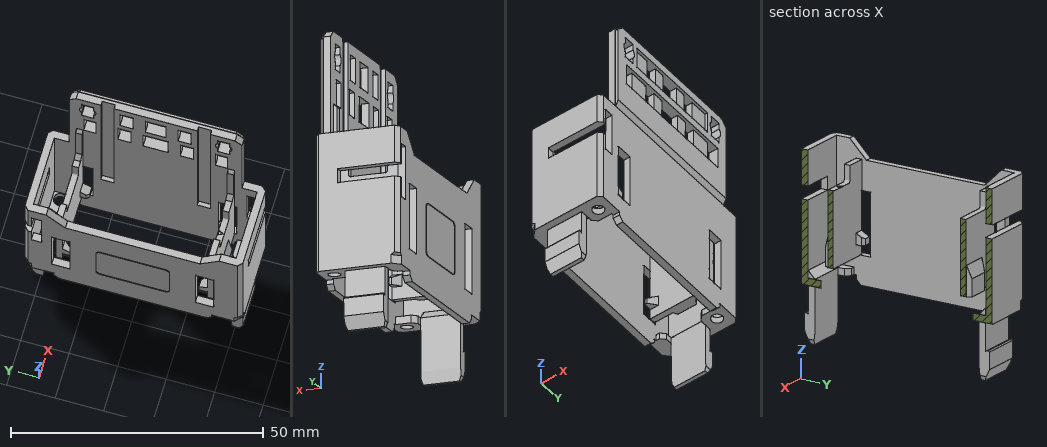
import cadquery as cq

TOTAL_HEIGHT = 63.7
BOX_DEPTH = 17.95
BOX_HALF_WIDTH = 22.5
BOX_BOTTOM = 12.3
BOX_TOP = 40.75
WALL = 1.6
CORNER_CHAMFER = 0.9
INNER_BACK = BOX_DEPTH - WALL
INNER_HALF_WIDTH = BOX_HALF_WIDTH - WALL

FOOT_CHAMFER = 1.6
FOOT_SHOULDER = 14.1
FOOT_TOP = 14.5

NOTCH_DEPTH = 3.95
NOTCH_TOP_HALF_WIDTH = 17.85
TONGUE_HALF_WIDTH = 16.3
TONGUE_DROP = 2.0
TONGUE_CHAMFER = 1.1

WINDOW_INNER = 12.9
WINDOW_OUTER = 16.7
WINDOW_BOTTOM = 16.7
WINDOW_TOP = 30.25

SLOT_BOTTOM = 30.25
SLOT_TOP = 33.1
SLOT_LENGTH = 13.05
POCKET_INNER = 18.8
POCKET_BOTTOM = 26.3
POCKET_TOP = 37.25

LABEL_WIDTH = 15.15
LABEL_HEIGHT = 10.95
LABEL_CENTER_Z = 23.45
LABEL_RADIUS = 1.1
LABEL_DEPTH = 0.1

PANEL_HALF_WIDTH = 17.85
PANEL_CHAMFER = 1.45
PAD_THICKNESS = 0.65
PAD_INSET = 0.25
PAD_RUNOUT = 1.4

GROOVE_CENTER = 9.95
GROOVE_WIDTH = 2.7
GROOVE_DEPTH = 0.9
GROOVE_BOTTOM = 26.1

UPPER_ROW_BOTTOM = 56.05
LOWER_ROW_BOTTOM = 48.8
OPENING_HEIGHT = 5.3
UPPER_OPENINGS = [(6.0, 2.7), (14.0, 2.5)]
LOWER_OPENINGS = [(6.45, 2.7), (13.55, 2.5)]
UPPER_MIDDLE_WIDTH = 4.25
LOWER_MIDDLE_WIDTH = 5.15
KEYHOLE_Y = UPPER_OPENINGS[1][0]
KEYHOLE_DIAMETER = 3.4

UPPER_RECESS_HALF_WIDTH = 11.45
LOWER_RECESS_HALF_WIDTH = LOWER_OPENINGS[1][0] - LOWER_OPENINGS[1][1] / 2

SHELF_THICKNESS = 1.6
SHELF_INNER = 16.8
SHELF_CORNER = 1.0
SCREW_X = 15.0
SCREW_Y = 19.3
SCREW_DIAMETER = 2.55

CLIP_START = 3.5
CLIP_WIDTH = 8.55
CLIP_INNER = INNER_HALF_WIDTH - WALL
CLIP_RAMP_BOTTOM = BOX_BOTTOM + SHELF_THICKNESS
BARB_OUTER = 21.8
BARB_TOP = 6.6
BARB_UNDERCUT = 6.4
BARB_BOTTOM = 2.7
TIP_OUTER = 20.5
TIP_INNER = 19.6
TIP_SIDE_HEIGHT = 1.1
TIP_SIDE_INSET = 0.4

SPRING_INNER = 15.0
SPRING_OUTER = 16.3
SPRING_BOTTOM = 16.9
SPRING_LEVEL = 36.8
SPRING_DIP = 33.2
DIP_FILLET = 0.5
RIB_THICKNESS = 0.7
RIB_TOP = 48.65
RIB_FOOT_CHAMFER = 1.1
DIP_ENDS = {1: (4.85, 13.2), -1: (5.9, 12.2)}
MARK_CENTER = BOX_DEPTH / 2
MARK_SIZE = 0.95
MARK_DEPTH = 0.1

HOOK_REACH = 1.85
HOOK_WIDTH = 2.1
HOOK_BOTTOM = 19.5
HOOK_SHOULDER = 20.95
HOOK_TOP = 22.0
HOOK_CORNER = 0.6
HOOK_TIP_WIDTH = 0.6
BUMP_REACH = 0.95
BUMP_START = 6.25
BUMP_END = 11.9
BUMP_SIDE_INSET = 0.5
BUMP_SHOULDER = 20.7
BUMP_TOP = 23.5


def block(x0, x1, y0, y1, z0, z1):
    """Box between two corners; the Y limits may come in either order."""
    size = (x1 - x0, abs(y1 - y0), z1 - z0)
    return cq.Workplane("XY").box(*size, centered=False).translate((x0, min(y0, y1), z0))


def plate_yz(points, x0, thickness):
    """Plate from a (Y, Z) outline, growing toward +X."""
    return cq.Workplane("YZ").polyline(points).close().extrude(thickness).translate((x0, 0, 0))


def prism_xy(points, z0, height):
    """Vertical prism from an (X, Y) outline."""
    return cq.Workplane("XY").polyline(points).close().extrude(height).translate((0, 0, z0))


def on_side(body, side):
    """Keep a body built on the +Y side, or mirror it to -Y."""
    return body if side > 0 else body.mirror("XZ")


def turned(body):
    """Half turn about the vertical centre line of the box."""
    return body.rotate((BOX_DEPTH / 2, 0, 0), (BOX_DEPTH / 2, 0, 1), 180)


def foot_chamfer_cut():
    """Deeper chamfer at the foot of the label-wall corner on the +Y side."""
    def section(size):
        return [(0, BOX_HALF_WIDTH), (size, BOX_HALF_WIDTH), (0, BOX_HALF_WIDTH - size)]

    cut = prism_xy(section(FOOT_CHAMFER), BOX_BOTTOM, FOOT_SHOULDER - BOX_BOTTOM)
    transition = (
        cq.Workplane("XY", origin=(0, 0, FOOT_SHOULDER)).polyline(section(FOOT_CHAMFER)).close()
        .workplane(offset=FOOT_TOP - FOOT_SHOULDER).polyline(section(CORNER_CHAMFER)).close()
        .loft(ruled=True)
    )
    return cut.union(transition)


def box_shell():
    shell = block(0, BOX_DEPTH, -BOX_HALF_WIDTH, BOX_HALF_WIDTH, BOX_BOTTOM, BOX_TOP)
    shell = shell.edges("|Z").chamfer(CORNER_CHAMFER)
    shell = shell.cut(
        block(WALL, INNER_BACK, -INNER_HALF_WIDTH, INNER_HALF_WIDTH, BOX_BOTTOM, BOX_TOP)
    )
    for side in (1, -1):
        shell = shell.cut(on_side(foot_chamfer_cut(), side))

    notch_bottom_half_width = NOTCH_TOP_HALF_WIDTH - NOTCH_DEPTH
    notch = [
        (-NOTCH_TOP_HALF_WIDTH, BOX_TOP),
        (-notch_bottom_half_width, BOX_TOP - NOTCH_DEPTH),
        (notch_bottom_half_width, BOX_TOP - NOTCH_DEPTH),
        (NOTCH_TOP_HALF_WIDTH, BOX_TOP),
    ]
    shell = shell.cut(plate_yz(notch, 0, WALL))

    tongue_bottom = BOX_BOTTOM - TONGUE_DROP
    tongue_tip = TONGUE_HALF_WIDTH - TONGUE_CHAMFER
    tongue = [
        (-TONGUE_HALF_WIDTH, BOX_BOTTOM),
        (-TONGUE_HALF_WIDTH, tongue_bottom + TONGUE_CHAMFER),
        (-tongue_tip, tongue_bottom),
        (tongue_tip, tongue_bottom),
        (TONGUE_HALF_WIDTH, tongue_bottom + TONGUE_CHAMFER),
        (TONGUE_HALF_WIDTH, BOX_BOTTOM),
    ]
    for wall_start in (0, INNER_BACK):
        shell = shell.union(plate_yz(tongue, wall_start, WALL))
    return shell


def label_recess():
    field = cq.Workplane("YZ", origin=(0, 0, LABEL_CENTER_Z)).rect(LABEL_WIDTH, LABEL_HEIGHT)
    return field.extrude(LABEL_DEPTH).edges("|X").fillet(LABEL_RADIUS)


def wall_windows():
    """Four windows, one pair in each long wall."""
    window = block(0, BOX_DEPTH, WINDOW_INNER, WINDOW_OUTER, WINDOW_BOTTOM, WINDOW_TOP)
    return window.union(on_side(window, -1))


def corner_slots():
    """End-wall slots with their wall pockets; the second is the first turned half round."""
    slot = block(0, SLOT_LENGTH, INNER_HALF_WIDTH, BOX_HALF_WIDTH, SLOT_BOTTOM, SLOT_TOP)
    pocket = block(0, WALL, POCKET_INNER, INNER_HALF_WIDTH, POCKET_BOTTOM, POCKET_TOP)
    cut = slot.union(pocket)
    return cut.union(turned(cut))


def panel_outline(half_width, bottom, top):
    return [
        (-half_width, bottom),
        (half_width, bottom),
        (half_width, top - PANEL_CHAMFER),
        (half_width - PANEL_CHAMFER, top),
        (PANEL_CHAMFER - half_width, top),
        (-half_width, top - PANEL_CHAMFER),
    ]


def back_panel():
    panel = plate_yz(panel_outline(PANEL_HALF_WIDTH, BOX_TOP, TOTAL_HEIGHT), INNER_BACK, WALL)
    pad_outline = panel_outline(PANEL_HALF_WIDTH - PAD_INSET, BOX_TOP, TOTAL_HEIGHT - PAD_INSET)
    pad = plate_yz(pad_outline, BOX_DEPTH, PAD_THICKNESS)
    runout = (
        cq.Workplane("XZ")
        .moveTo(BOX_DEPTH, BOX_TOP)
        .lineTo(BOX_DEPTH + PAD_THICKNESS, BOX_TOP)
        .lineTo(BOX_DEPTH + PAD_THICKNESS, BOX_TOP + PAD_RUNOUT)
        .close()
        .extrude(PANEL_HALF_WIDTH, both=True)
    )
    return panel.union(pad.cut(runout))


def pad_recesses():
    """One slot through the pad along each row of openings."""
    back = BOX_DEPTH + PAD_THICKNESS
    recesses = cq.Workplane("XY")
    rows = [
        (UPPER_RECESS_HALF_WIDTH, UPPER_ROW_BOTTOM),
        (LOWER_RECESS_HALF_WIDTH, LOWER_ROW_BOTTOM),
    ]
    for half_width, bottom in rows:
        recess = block(BOX_DEPTH, back, -half_width, half_width, bottom, bottom + OPENING_HEIGHT)
        recesses = recesses.union(recess)
    return recesses


def panel_openings():
    """Both rows of openings, the keyholes and the two inner grooves."""
    depth = WALL + PAD_THICKNESS

    def opening(center_y, width, bottom):
        y0 = center_y - width / 2
        return block(INNER_BACK, INNER_BACK + depth, y0, y0 + width, bottom, bottom + OPENING_HEIGHT)

    cuts = opening(0, UPPER_MIDDLE_WIDTH, UPPER_ROW_BOTTOM)
    cuts = cuts.union(opening(0, LOWER_MIDDLE_WIDTH, LOWER_ROW_BOTTOM))
    keyhole_z = UPPER_ROW_BOTTOM + OPENING_HEIGHT / 2
    rows = [(UPPER_OPENINGS, UPPER_ROW_BOTTOM), (LOWER_OPENINGS, LOWER_ROW_BOTTOM)]
    for side in (1, -1):
        for openings, bottom in rows:
            for center_y, width in openings:
                cuts = cuts.union(opening(side * center_y, width, bottom))
        keyhole = cq.Workplane("YZ", origin=(INNER_BACK, side * KEYHOLE_Y, keyhole_z))
        cuts = cuts.union(keyhole.circle(KEYHOLE_DIAMETER / 2).extrude(depth))
        groove_start = side * GROOVE_CENTER - GROOVE_WIDTH / 2
        groove = block(
            INNER_BACK, INNER_BACK + GROOVE_DEPTH,
            groove_start, groove_start + GROOVE_WIDTH,
            GROOVE_BOTTOM, TOTAL_HEIGHT,
        )
        cuts = cuts.union(groove)
    return cuts


def corner_shelves():
    """Two shelves on the +Y side, beside the clip; the rear one has a screw hole."""
    clip_end = CLIP_START + CLIP_WIDTH
    shelves = cq.Workplane("XY")
    for wall_x, clip_x, toward_wall in ((WALL, CLIP_START, -1), (INNER_BACK, clip_end, 1)):
        outline = [
            (wall_x, INNER_HALF_WIDTH),
            (clip_x, INNER_HALF_WIDTH),
            (clip_x, SHELF_INNER + SHELF_CORNER),
            (clip_x + toward_wall * SHELF_CORNER, SHELF_INNER),
            (wall_x, SHELF_INNER),
        ]
        shelves = shelves.union(prism_xy(outline, BOX_BOTTOM, SHELF_THICKNESS))
    hole = cq.Workplane("XY", origin=(SCREW_X, SCREW_Y, BOX_BOTTOM)).circle(SCREW_DIAMETER / 2)
    return shelves.cut(hole.extrude(SHELF_THICKNESS))


def clip():
    """Barbed clip on the +Y side, with a 45 degree ramp where it joins the end wall."""
    profile = [
        (CLIP_INNER, CLIP_RAMP_BOTTOM),
        (INNER_HALF_WIDTH, CLIP_RAMP_BOTTOM + INNER_HALF_WIDTH - CLIP_INNER),
        (INNER_HALF_WIDTH, BARB_UNDERCUT),
        (BARB_OUTER - (BARB_TOP - BARB_UNDERCUT), BARB_TOP),
        (BARB_OUTER, BARB_UNDERCUT),
        (BARB_OUTER, BARB_BOTTOM),
        (TIP_OUTER, 0),
        (TIP_INNER, 0),
        (CLIP_INNER, BARB_BOTTOM),
    ]
    body = plate_yz(profile, CLIP_START, CLIP_WIDTH)
    clip_end = CLIP_START + CLIP_WIDTH
    for edge, inward in ((CLIP_START, 1), (clip_end, -1)):
        corner = (
            cq.Workplane("XZ")
            .moveTo(edge, 0)
            .lineTo(edge + inward * TIP_SIDE_INSET, 0)
            .lineTo(edge, TIP_SIDE_HEIGHT)
            .close()
            .extrude(-BOX_HALF_WIDTH)
        )
        body = body.cut(corner)
    return body


def spring_wall(side):
    """Cross wall with a dipped top edge and a rib running up the back panel."""
    dip_start, dip_end = DIP_ENDS[side]
    rib_face = INNER_BACK - RIB_THICKNESS
    profile = (
        cq.Workplane("XZ")
        .moveTo(WALL, SPRING_BOTTOM)
        .lineTo(INNER_BACK, SPRING_BOTTOM)
        .lineTo(INNER_BACK, RIB_TOP)
        .lineTo(rib_face, RIB_TOP - RIB_THICKNESS)
        .lineTo(rib_face, SPRING_LEVEL + RIB_FOOT_CHAMFER)
        .lineTo(rib_face - RIB_FOOT_CHAMFER, SPRING_LEVEL)
        .lineTo(dip_end, SPRING_LEVEL)
        .lineTo(dip_end, SPRING_DIP + DIP_FILLET)
        .radiusArc((dip_end - DIP_FILLET, SPRING_DIP), DIP_FILLET)
        .lineTo(dip_start + DIP_FILLET, SPRING_DIP)
        .radiusArc((dip_start, SPRING_DIP + DIP_FILLET), DIP_FILLET)
        .lineTo(dip_start, SPRING_LEVEL)
        .lineTo(WALL, SPRING_LEVEL)
        .close()
    )
    wall = profile.extrude(SPRING_INNER - SPRING_OUTER).translate((0, SPRING_INNER, 0))
    return on_side(wall, side)


def index_mark():
    """Small triangle sunk into the dipped edge of the -Y spring wall."""
    outline = [
        (MARK_CENTER - MARK_SIZE / 2, -SPRING_INNER - MARK_DEPTH),
        (MARK_CENTER + MARK_SIZE / 2, -SPRING_INNER - MARK_DEPTH),
        (MARK_CENTER, -SPRING_INNER - MARK_DEPTH - MARK_SIZE),
    ]
    return prism_xy(outline, SPRING_DIP - MARK_DEPTH, MARK_DEPTH)


def spring_hooks():
    """Hooks on the inner face of the +Y spring wall: a wedge in front, a block behind."""
    tip = SPRING_INNER - HOOK_REACH
    wedge = [
        (WALL, SPRING_INNER),
        (WALL + HOOK_WIDTH, SPRING_INNER),
        (WALL + HOOK_TIP_WIDTH, tip),
        (WALL, tip),
    ]
    square = [
        (INNER_BACK, SPRING_INNER),
        (INNER_BACK - HOOK_WIDTH, SPRING_INNER),
        (INNER_BACK - HOOK_WIDTH, tip + HOOK_CORNER),
        (INNER_BACK - HOOK_WIDTH + HOOK_CORNER, tip),
        (INNER_BACK, tip),
    ]
    height = HOOK_TOP - HOOK_BOTTOM
    hooks = prism_xy(wedge, HOOK_BOTTOM, height).union(prism_xy(square, HOOK_BOTTOM, height))
    slope = [(SPRING_INNER, HOOK_TOP), (tip, HOOK_TOP), (tip, HOOK_SHOULDER)]
    return hooks.cut(plate_yz(slope, 0, BOX_DEPTH))


def spring_bump():
    """Outward bump on the +Y spring wall, sloped on top and at both ends."""
    tip = SPRING_OUTER + BUMP_REACH
    outline = [
        (BUMP_START, SPRING_OUTER),
        (BUMP_START + BUMP_SIDE_INSET, tip),
        (BUMP_END - BUMP_SIDE_INSET, tip),
        (BUMP_END, SPRING_OUTER),
    ]
    bump = prism_xy(outline, SPRING_BOTTOM, BUMP_TOP - SPRING_BOTTOM)
    slope = [(SPRING_OUTER, BUMP_TOP), (tip, BUMP_TOP), (tip, BUMP_SHOULDER)]
    return bump.cut(plate_yz(slope, 0, BOX_DEPTH))


result = box_shell().union(back_panel())
result = result.cut(label_recess()).cut(wall_windows()).cut(corner_slots()).cut(panel_openings())
result = result.cut(pad_recesses())

for side in (1, -1):
    result = result.union(on_side(corner_shelves(), side))
    result = result.union(on_side(clip(), side))
    result = result.union(spring_wall(side))
    result = result.union(on_side(spring_bump(), side))

hooks = spring_hooks()
result = result.union(hooks).union(turned(hooks)).cut(index_mark())